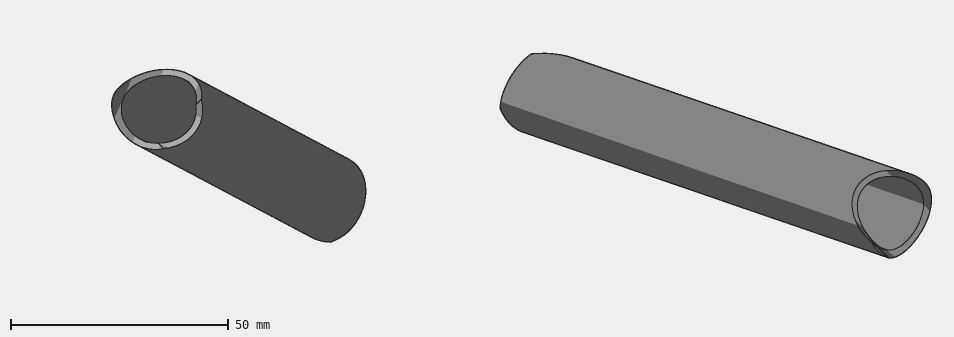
import cadquery as cq
import math

tube_radius = 10.0
wall = 1.5
axis_point = cq.Vector(0, 2.8, 0)
axis_direction = cq.Vector(0.025, -0.674, 1).normalized()

lower_joint_z = -80.3
upper_joint_z = 89.1
upper_rail_yaw = -5
lower_saddle_offset_y = 1.0
mating_radius = 10.3
cutter_length = 137.6


def axis_at_height(height):
    """Point of the tube axis at the given Z."""
    return axis_point + axis_direction * ((height - axis_point.z) / axis_direction.z)


def cylinder(start, end, radius):
    """Solid cylinder between two points."""
    span = end - start
    return cq.Workplane(cq.Solid.makeCylinder(radius, span.Length, start, span.normalized()))


def through_cutter(centre, direction):
    """Mating tube that runs past the joint on both sides."""
    reach = direction * (cutter_length / 2)
    return cylinder(centre - reach, centre + reach, mating_radius)


lower_joint = axis_at_height(lower_joint_z)
upper_joint = axis_at_height(upper_joint_z)
along_x = cq.Vector(1, 0, 0)

tube = cylinder(lower_joint, upper_joint, tube_radius)
tube = tube.cut(cylinder(lower_joint, upper_joint, tube_radius - wall))

lower_saddle_centre = lower_joint + cq.Vector(0, lower_saddle_offset_y, 0)
tube = tube.cut(through_cutter(lower_saddle_centre, along_x))

yaw = math.radians(upper_rail_yaw)
rail_direction = cq.Vector(math.sin(yaw), math.cos(yaw), 0)
tube = tube.cut(through_cutter(upper_joint, rail_direction))

cross_tube_end = upper_joint + along_x * cutter_length
tube = tube.cut(cylinder(upper_joint, cross_tube_end, mating_radius))

result = cq.Workplane(max(tube.solids().vals(), key=lambda piece: piece.Volume()))